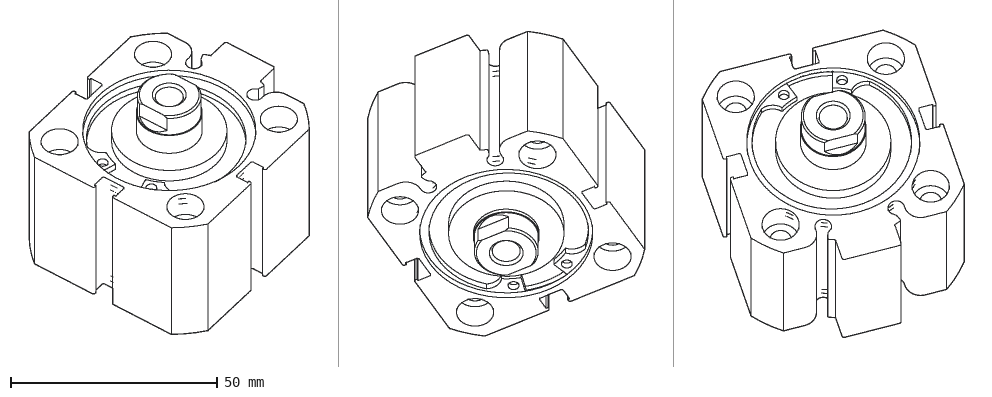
import cadquery as cq
import math


housing_width = 54.0
housing_height = 36.0
corner_radius = 34.0
half_width = housing_width / 2
bore_diameter = 42.0

tongue_half_width = 7.5
tongue_reach = 33.0
tongue_fillet = 0.6

channel_radius = 2.0
channel_x = 9.25
channel_y = 22.5
shoulder_radius = 4.0
lip_tip = (9.3, 26.3)
lip_neck = (8.7, 24.55)
lip_fillet = 0.4
channel_exit_angle = math.radians(143)

slot_mouth = 5.4
slot_width = 6.5
slot_depth = 4.5
lip_thickness = 0.9
lip_rounding = 0.5
slot_floor_fillet = 0.5

mount_pitch = 38.0
mount_hole_diameter = 5.2
counterbore_diameter = 9.0
counterbore_depth = 7.0

ring_inset = 1.75
ring_thickness = 1.75
groove_diameter = 44.5
ring_inner_radius = 19.35
ring_inner_offset = -1.25
lug_radius = 16.4
gap_half_angle = 16.0
lug_end_angle = 32.5
notch_middle = (11.4, -15.3)
notch_end_angle = 45.0
lug_hole_diameter = 2.6
lug_hole_radius = 18.7
lug_hole_angle = 23.2

collar_inset = ring_inset + ring_thickness
collar_thickness = 8.0
collar_boss_diameter = 28.0

rod_diameter = 16.0
rod_top_reach = 12.0
rod_bottom_reach = 7.0
rod_nose_diameter = 15.5
rod_nose_length = 6.0
rod_nose_chamfer = 0.5
flat_width = 13.0
flat_length = 4.5
tap_diameter = 6.8
tap_mouth_diameter = 8.2
tap_depth = 14.0
drill_point_angle = math.radians(118)


def polar(radius, angle_from_minus_y):
    """Point at a radius and an angle in degrees turned from -Y towards +X."""
    angle = math.radians(angle_from_minus_y)
    return (radius * math.sin(angle), -radius * math.cos(angle))


def cylinder(diameter, bottom, top):
    return cq.Workplane("XY").workplane(offset=bottom).circle(diameter / 2).extrude(top - bottom)


def at_both_ends(body):
    """The body at the top end and its mirror image at the bottom end."""
    middle = (0, 0, housing_height / 2)
    return [body, body.mirror("XY", middle)]


def make_block():
    square = cq.Workplane("XY").rect(housing_width, housing_width).extrude(housing_height)
    return square.intersect(cylinder(2 * corner_radius, 0, housing_height))


def make_tongue():
    return (
        cq.Workplane("XY")
        .center(0, tongue_reach / 2 + bore_diameter / 4)
        .rect(2 * tongue_half_width, tongue_reach - bore_diameter / 2)
        .extrude(housing_height)
        .edges("|Z and >Y")
        .fillet(tongue_fillet)
    )


def make_channel():
    """Cutter for the channel on the +X side of the tongue."""
    exit_point = (
        channel_x + channel_radius * math.cos(channel_exit_angle),
        channel_y + channel_radius * math.sin(channel_exit_angle),
    )
    outer_x = channel_x + channel_radius
    shoulder_y = half_width - shoulder_radius
    shoulder_middle = (
        outer_x + shoulder_radius * (1 - math.cos(math.pi / 4)),
        shoulder_y + shoulder_radius * math.sin(math.pi / 4),
    )
    return (
        cq.Workplane("XY")
        .moveTo(tongue_half_width, half_width)
        .lineTo(*lip_tip)
        .lineTo(*lip_neck)
        .lineTo(*exit_point)
        .threePointArc((channel_x, channel_y - channel_radius), (outer_x, channel_y))
        .lineTo(outer_x, shoulder_y)
        .threePointArc(shoulder_middle, (outer_x + shoulder_radius, half_width))
        .close()
        .extrude(housing_height)
        .edges(cq.selectors.NearestToPointSelector((*lip_tip, housing_height / 2)))
        .fillet(lip_fillet)
    )


def make_slot():
    """Cutter for the T-slot on the +X side; the slot's lips are rounded outside."""
    floor_x = half_width - slot_depth
    lip_x = half_width - lip_thickness
    chamber = (
        cq.Workplane("XY")
        .center((floor_x + lip_x) / 2, 0)
        .rect(lip_x - floor_x, slot_width)
        .extrude(housing_height)
        .edges("|Z and <X")
        .fillet(slot_floor_fillet)
    )
    rounding_x = half_width - lip_rounding
    mouth_y = slot_mouth / 2
    bulge = lip_rounding * (1 - math.cos(math.pi / 4))
    mouth = (
        cq.Workplane("XY")
        .moveTo(lip_x, -mouth_y)
        .lineTo(rounding_x, -mouth_y)
        .threePointArc((half_width - bulge, -mouth_y - bulge), (half_width, -mouth_y - lip_rounding))
        .lineTo(half_width, mouth_y + lip_rounding)
        .threePointArc((half_width - bulge, mouth_y + bulge), (rounding_x, mouth_y))
        .lineTo(lip_x, mouth_y)
        .close()
        .extrude(housing_height)
    )
    return chamber.union(mouth)


def make_mounting_holes():
    def drill(diameter, bottom, top):
        return (
            cq.Workplane("XY")
            .workplane(offset=bottom)
            .rect(mount_pitch, mount_pitch, forConstruction=True)
            .vertices()
            .circle(diameter / 2)
            .extrude(top - bottom)
        )

    holes = drill(mount_hole_diameter, 0, housing_height)
    for counterbore in at_both_ends(
        drill(counterbore_diameter, housing_height - counterbore_depth, housing_height)
    ):
        holes = holes.union(counterbore)
    return holes


def make_housing():
    housing = make_block().union(make_tongue())
    channel = make_channel()
    housing = housing.cut(channel).cut(channel.mirror("YZ"))
    slot = make_slot()
    for angle in (0, 180, 270):
        housing = housing.cut(slot.rotate((0, 0, 0), (0, 0, 1), angle))
    housing = housing.cut(make_mounting_holes())
    housing = housing.cut(cylinder(bore_diameter, 0, housing_height))
    groove_top = housing_height - ring_inset
    for groove in at_both_ends(cylinder(groove_diameter, groove_top - ring_thickness, groove_top)):
        housing = housing.cut(groove)
    return housing


def make_ring():
    """Top retaining ring: eccentric inside, with two drilled lugs beside the gap."""
    def mirrored(point):
        return (-point[0], point[1])

    outer_radius = groove_diameter / 2
    gap_outer = polar(outer_radius, gap_half_angle)
    gap_inner = polar(lug_radius, gap_half_angle)
    lug_middle = polar(lug_radius, (gap_half_angle + lug_end_angle) / 2)
    lug_end = polar(lug_radius, lug_end_angle)
    notch_x, notch_y = polar(ring_inner_radius, notch_end_angle)
    notch_end = (notch_x, notch_y + ring_inner_offset)
    ring_bottom = housing_height - ring_inset - ring_thickness
    ring = (
        cq.Workplane("XY")
        .workplane(offset=ring_bottom)
        .moveTo(*gap_outer)
        .lineTo(*gap_inner)
        .threePointArc(lug_middle, lug_end)
        .threePointArc(notch_middle, notch_end)
        .threePointArc((0, ring_inner_radius + ring_inner_offset), mirrored(notch_end))
        .threePointArc(mirrored(notch_middle), mirrored(lug_end))
        .threePointArc(mirrored(lug_middle), mirrored(gap_inner))
        .lineTo(*mirrored(gap_outer))
        .threePointArc((0, outer_radius), gap_outer)
        .close()
        .extrude(ring_thickness)
    )
    lug_hole = polar(lug_hole_radius, lug_hole_angle)
    lug_holes = (
        cq.Workplane("XY")
        .workplane(offset=ring_bottom)
        .pushPoints([lug_hole, mirrored(lug_hole)])
        .circle(lug_hole_diameter / 2)
        .extrude(ring_thickness)
    )
    return ring.cut(lug_holes)


def make_collar():
    """Top collar: a plate filling the bore, with a boss flush with the housing face."""
    plate_top = housing_height - collar_inset
    plate_bottom = plate_top - collar_thickness
    plate = cylinder(bore_diameter, plate_bottom, plate_top)
    boss = cylinder(collar_boss_diameter, plate_bottom, housing_height)
    return plate.union(boss).cut(cylinder(rod_diameter, plate_bottom, housing_height))


def make_rod_nose():
    """Upper rod end from Z = 0: chamfered nose, two wrench flats with sloping run-outs."""
    nose = cylinder(rod_nose_diameter, 0, rod_nose_length).faces(">Z").chamfer(rod_nose_chamfer)
    flat_bottom = rod_nose_length - flat_length
    flat_y = flat_width / 2
    flat_cut = (
        cq.Workplane("YZ")
        .moveTo(flat_y, rod_nose_length)
        .lineTo(flat_y, flat_bottom)
        .lineTo(flat_y + flat_bottom, 0)
        .lineTo(flat_y + flat_bottom, rod_nose_length)
        .close()
        .extrude(rod_diameter / 2, both=True)
    )
    return nose.cut(flat_cut).cut(flat_cut.mirror("XZ"))


def make_tapped_hole():
    """Cutter below Z = 0: countersunk mouth, drilled hole, conical drill point."""
    tap_radius = tap_diameter / 2
    mouth_radius = tap_mouth_diameter / 2
    point_length = tap_radius / math.tan(drill_point_angle / 2)
    return (
        cq.Workplane("XZ")
        .moveTo(0, 0)
        .lineTo(mouth_radius, 0)
        .lineTo(tap_radius, tap_radius - mouth_radius)
        .lineTo(tap_radius, -tap_depth)
        .lineTo(0, -tap_depth - point_length)
        .close()
        .revolve(360, (0, 0, 0), (0, 1, 0))
    )


def make_rod():
    nose = make_rod_nose()
    hole = make_tapped_hole()
    top = housing_height + rod_top_reach
    bottom = -rod_bottom_reach
    top_nose_start = top - rod_nose_length
    bottom_nose_start = bottom + rod_nose_length
    rod = cylinder(rod_diameter, bottom_nose_start, top_nose_start)
    rod = rod.union(nose.translate((0, 0, top_nose_start)))
    rod = rod.union(nose.mirror("XY").translate((0, 0, bottom_nose_start)))
    rod = rod.cut(hole.translate((0, 0, top)))
    return rod.cut(hole.mirror("XY").translate((0, 0, bottom)))


housing = make_housing()
rod = make_rod()
collars = at_both_ends(make_collar())
rings = at_both_ends(make_ring())

result = cq.Compound.makeCompound(
    [
        housing.val(),
        rod.val(),
        *[collar.val() for collar in collars],
        *[ring.val() for ring in rings],
    ]
)